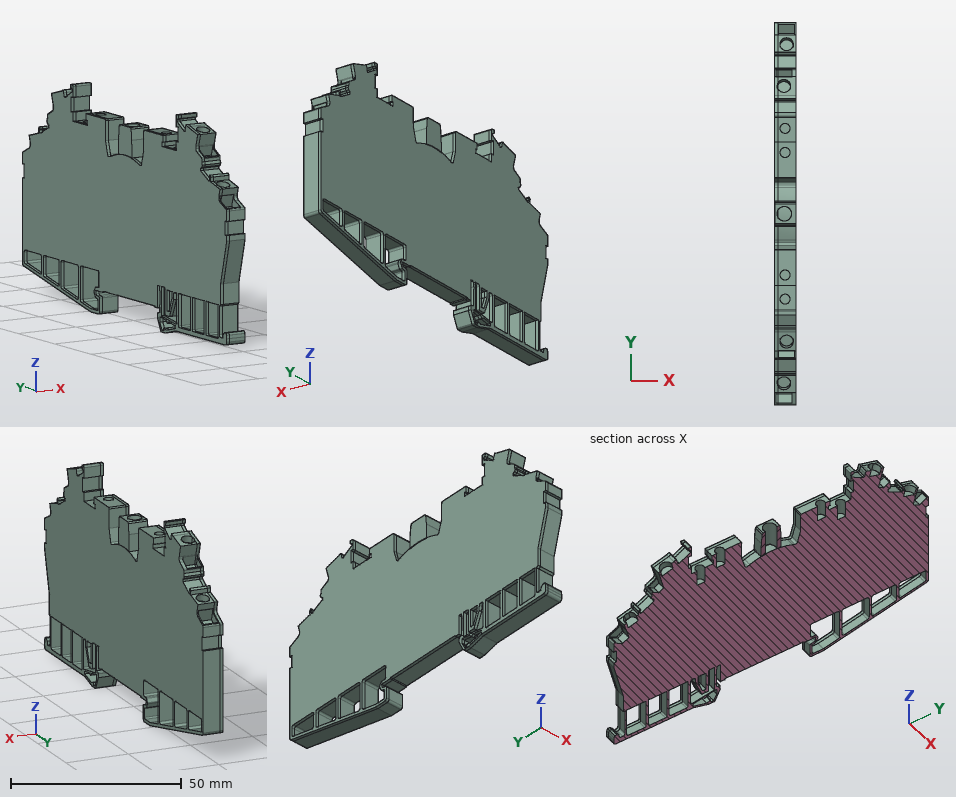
import cadquery as cq
import math


THICKNESS = 6.4
COVER_THICKNESS = 1.0
HALF_LENGTH = 56.0

WINDOW_TOP = 12.9
RIB = 1.0
BODY_BOTTOM = 7.2
BODY_BOTTOM_LIP = 6.8
LEFT_FOOT_Y = 13.7
LEFT_HEEL_Z = 8.2
LEFT_TOE_Y = 18.5
FOOT_SLOPE = LEFT_HEEL_Z / (HALF_LENGTH - LEFT_TOE_Y)
FOOT_SKIN = 1.0
RIGHT_FOOT_Z = 1.5
RIGHT_WINDOW_BOTTOM = 2.8
WINDOW_RADIUS = 0.7

FUNNEL_DIAMETER = 3.9
FUNNEL_DEPTH = 2.2
UPPER_FUNNEL_Y = 37.4
LOWER_FUNNEL_Y = 49.6
RECESS_WIDTH = 4.7
RECESS_RIM = 0.3
RECESS_FLOOR_SLOPE = 0.57
RECESS_BACK_SLOPE = 0.28
NEAR_BANK_X = 2.8
FAR_BANK_X = 3.6

SOCKET_DIAMETER = 2.9
SOCKET_DEPTH = 5.6
SOCKET_X = 3.1
INNER_SOCKET_Y = 17.9
OUTER_SOCKET_Y = 25.0
TOWER_TOP = 58.6
TOWER_FLOOR = 55.2

POST_START_X = 0.2
POST_TOP = 58.1
POST_BASE_Z = 48.2
POST_HOLE_DIAMETER = 4.3
POST_HOLE_X = 2.9

UPPER_FACE = ((34.6, 63.3), (40.1, 61.7))
UPPER_LEDGE = ((39.1, 56.9), (42.4, 55.1))
LOWER_FACE = ((47.2, 48.8), (52.3, 47.4))
LOWER_LEDGE = ((51.7, 43.9), (HALF_LENGTH, 41.8))

UPPER_RECESS = ((39.1, 57.9), 40.0, 42.0)
LOWER_RECESS = ((51.7, 45.3), 52.8, 55.3)


TOLERANCE = 1.12e-06


def rounded_wire(corners):
    """Closed YZ wire at X = 0; a corner (y, z, r) is rounded with radius r."""
    trims = []
    count = len(corners)
    for i, corner in enumerate(corners):
        here = cq.Vector(0, corner[0], corner[1])
        if len(corner) == 2:
            trims.append((here, here, here))
            continue
        before = cq.Vector(0, *corners[i - 1][:2])
        after = cq.Vector(0, *corners[(i + 1) % count][:2])
        toward_before = (before - here).normalized()
        toward_after = (after - here).normalized()
        half_angle = toward_before.getAngle(toward_after) / 2
        radius = corner[2]
        setback = radius / math.tan(half_angle)
        bisector = (toward_before + toward_after).normalized()
        middle = here + bisector * (radius / math.sin(half_angle) - radius)
        trims.append((here + toward_before * setback, middle, here + toward_after * setback))

    edges = []
    for i, (start, middle, end) in enumerate(trims):
        if start is not end:
            edges.append(cq.Edge.makeThreePointArc(start, middle, end))
        next_start = trims[(i + 1) % count][0]
        if (next_start - end).Length > TOLERANCE:
            edges.append(cq.Edge.makeLine(end, next_start))
    return cq.Wire.assembleEdges(edges)


def prism(corners, start_x, end_x):
    """Solid with a YZ outline, from start_x to end_x."""
    face = cq.Face.makeFromWires(rounded_wire(corners))
    solid = cq.Solid.extrudeLinear(face, cq.Vector(end_x - start_x, 0, 0))
    return cq.Workplane(solid.translate(cq.Vector(start_x, 0, 0)))


def mirrored(corners):
    """The same corners on the other side of Y = 0, in reverse order."""
    return [(-corner[0], *corner[1:]) for corner in reversed(corners)]


def cylinder(diameter, length, base, direction):
    return cq.Workplane(cq.Solid.makeCylinder(diameter / 2, length, base, direction))


SADDLE_PEAK = (0, 51.1, 20.7)

SHOULDER = [
    (9.1, 47.5, 0.7),
    (10.4, 52.2),
    (10.4, 58.1),
    (10.6, TOWER_TOP),
    (21.1, TOWER_TOP),
    (21.1, 56.6),
    (20.5, 56.6),
    (20.5, TOWER_FLOOR),
    (28.2, TOWER_FLOOR),
    (28.2, 57.9),
    (29.2, 57.9),
    (29.2, 62.3),
    (28.2, 62.3),
    (28.2, 66.0, 0.5),
    (29.7, 66.0),
    (29.5, 64.9),
    (28.7, 64.5),
    (28.7, 64.0),
    (32.7, 61.6),
    (33.2, 61.8),
    (33.4, 63.0),
    (33.7, 63.8),
    *UPPER_FACE,
    (39.1, 58.1),
    (*UPPER_LEDGE[0], 0.9),
    (*UPPER_LEDGE[1], 0.5),
    (42.4, 54.0),
    (42.7, 53.1),
    (42.4, 52.4),
    (41.7, 52.0),
    (41.7, 51.3),
    (46.2, 49.0),
    (46.5, 49.0),
    (46.7, 49.7),
    (46.3, 50.2),
    (46.7, 50.8),
    (47.3, 50.2),
    *LOWER_FACE,
    (51.8, 45.4),
    (*LOWER_LEDGE[0], 1.3),
    (*LOWER_LEDGE[1], 0.6),
    (HALF_LENGTH, 38.3),
    (55.1, 38.3),
    (55.1, 34.2),
    (HALF_LENGTH, 34.2),
]

LEFT_FOOT = [
    (HALF_LENGTH, LEFT_HEEL_Z, 0.9),
    (LEFT_TOE_Y, 0),
    (LEFT_FOOT_Y, 0, 0.8),
    (LEFT_FOOT_Y, 5.2, 0.3),
    (15.5, 5.5, 0.6),
    (15.8, BODY_BOTTOM_LIP),
    (12.0, BODY_BOTTOM_LIP),
    (11.8, BODY_BOTTOM),
]

RIGHT_FOOT = [
    (-16.2, BODY_BOTTOM),
    (-16.5, BODY_BOTTOM_LIP),
    (-18.0, BODY_BOTTOM_LIP),
    (-18.0, 13.6),
    (-19.0, 13.6),
    (-19.4, 11.8),
    (-19.3, 5.7),
    (-18.0, 5.4, 0.3),
    (-18.0, 3.9),
    (-19.9, 0, 0.6),
    (-22.3, 0),
    (-27.7, RIGHT_FOOT_Z),
    (-HALF_LENGTH, RIGHT_FOOT_Z, 1.0),
    (-HALF_LENGTH, 3.5),
    (-55.9, 4.5),
    (-55.7, 5.2),
    (-54.9, 5.2),
    (-54.0, 4.5),
    (-53.8, 3.4),
    (-52.0, 3.4, 0.8),
    (-52.0, 12.5),
    (-52.7, 13.1),
    (-52.7, 19.3),
    (-HALF_LENGTH, 32.5),
]

OUTLINE = [SADDLE_PEAK, *SHOULDER, *LEFT_FOOT, *RIGHT_FOOT, *mirrored(SHOULDER)]


def foot_floor(y):
    """Height of the sloping foot's inner surface at y."""
    return FOOT_SLOPE * (y - LEFT_TOE_Y) + FOOT_SKIN


LEFT_RIBS_Y = [45.0, 35.3, 24.8]
RIGHT_RIBS_Y = [-29.1, -36.6, -44.0, -51.8]


def left_windows():
    outer_sides = [HALF_LENGTH - RIB] + [rib - RIB / 2 for rib in LEFT_RIBS_Y[:-1]]
    inner_sides = [rib + RIB / 2 for rib in LEFT_RIBS_Y]
    windows = []
    for outer, inner in zip(outer_sides, inner_sides):
        windows.append([
            (outer, WINDOW_TOP, WINDOW_RADIUS),
            (inner, WINDOW_TOP, WINDOW_RADIUS),
            (inner, foot_floor(inner), WINDOW_RADIUS),
            (outer, foot_floor(outer), WINDOW_RADIUS),
        ])
    hook_side = LEFT_RIBS_Y[-1] - RIB / 2
    windows.append([
        (hook_side, WINDOW_TOP, WINDOW_RADIUS),
        (14.0, WINDOW_TOP, WINDOW_RADIUS),
        (14.0, 7.8, 0.6),
        (15.9, 7.8, 0.3),
        (16.8, 6.4, 0.3),
        (15.9, 4.7, 0.3),
        (14.7, 4.4, 0.3),
        (14.7, FOOT_SKIN, 0.5),
        (LEFT_TOE_Y, FOOT_SKIN),
        (hook_side, foot_floor(hook_side), WINDOW_RADIUS),
    ])
    return windows


def right_windows():
    windows = []
    for inner_rib, outer_rib in zip(RIGHT_RIBS_Y, RIGHT_RIBS_Y[1:]):
        inner = inner_rib - RIB / 2
        outer = outer_rib + RIB / 2
        windows.append([
            (inner, WINDOW_TOP),
            (inner, RIGHT_WINDOW_BOTTOM, 0.5),
            (outer, RIGHT_WINDOW_BOTTOM, 0.5),
            (outer, WINDOW_TOP),
        ])
    return windows


SPRING_WINDOW = [
    (-20.2, 13.6),
    (-22.2, 13.6, 0.6),
    (-22.2, 5.3, 0.3),
    (-24.6, 5.3),
    (-26.9, 10.6),
    (-27.0, WINDOW_TOP, 0.5),
    (-28.6, WINDOW_TOP, 0.6),
    (-28.6, 3.5, 0.5),
    (-20.2, 4.8),
]
STOP_WINDOW = [
    (-23.2, WINDOW_TOP),
    (-23.2, 6.7),
    (-24.4, 6.7),
    (-26.0, 11.0),
    (-26.0, WINDOW_TOP),
]
LATCH_WINDOW = [
    (-19.4, 4.4),
    (-20.8, 4.3),
    (-22.6, 3.9),
    (-23.5, 3.0),
    (-24.2, 3.6),
    (-27.7, 3.0),
    (-27.7, 2.2),
    (-23.0, 1.0),
    (-21.5, 1.3),
    (-21.3, 0.6),
    (-20.5, 0.7),
    (-19.4, 2.8),
]


def funnel(face, y, x, side):
    """Round pocket square to a sloping tower face; side is +1 or -1 along Y."""
    (y_high, z_high), (y_low, z_low) = face
    drop = (z_high - z_low) / (y_low - y_high)
    tilt = math.atan(drop)
    mouth = cq.Vector(x, side * y, z_high - drop * (y - y_high))
    outward = cq.Vector(0, side * math.sin(tilt), math.cos(tilt))
    return cylinder(FUNNEL_DIAMETER, 2 * FUNNEL_DEPTH, mouth - outward * FUNNEL_DEPTH, outward)


def ledge_recess(ledge, back, y_valley, y_front, x, side):
    """Screwdriver recess with a V-shaped floor and a back wall that leans in under the tower."""
    (y_high, z_high), (y_low, z_low) = ledge
    y_back, z_top = back
    drop = (z_high - z_low) / (y_low - y_high)
    z_front = z_high - drop * (y_front - y_high) - RECESS_RIM
    z_valley = z_front - RECESS_FLOOR_SLOPE * (y_front - y_valley)
    reach = y_valley - y_back + RECESS_BACK_SLOPE * (z_top - z_valley)
    inner_length = reach / (1 + RECESS_BACK_SLOPE * RECESS_FLOOR_SLOPE)
    section = [
        back,
        (y_valley - inner_length, z_valley + RECESS_FLOOR_SLOPE * inner_length),
        (y_valley, z_valley),
        (y_front, z_front),
        (y_front, z_top),
    ]
    if side < 0:
        section = mirrored(section)
    return prism(section, x - RECESS_WIDTH / 2, x + RECESS_WIDTH / 2)


def socket(y, z):
    base = cq.Vector(SOCKET_X, y, z - SOCKET_DEPTH)
    return cylinder(SOCKET_DIAMETER, SOCKET_DEPTH, base, cq.Vector(0, 0, 1))


def top_cuts():
    cuts = []
    for side, upper_x, lower_x in ((1, NEAR_BANK_X, FAR_BANK_X), (-1, FAR_BANK_X, NEAR_BANK_X)):
        cuts.append(funnel(UPPER_FACE, UPPER_FUNNEL_Y, upper_x, side))
        cuts.append(funnel(LOWER_FACE, LOWER_FUNNEL_Y, lower_x, side))
        cuts.append(ledge_recess(UPPER_LEDGE, *UPPER_RECESS, upper_x, side))
        cuts.append(ledge_recess(LOWER_LEDGE, *LOWER_RECESS, lower_x, side))
        cuts.append(socket(side * INNER_SOCKET_Y, TOWER_TOP))
        cuts.append(socket(side * OUTER_SOCKET_Y, TOWER_FLOOR))
    return cuts


def terminal_layer(start_x, end_x):
    """The part of the terminal lying between two planes square to X."""
    layer = prism(OUTLINE, start_x, end_x)
    windows = [*left_windows(), *right_windows(), SPRING_WINDOW, STOP_WINDOW, LATCH_WINDOW]
    for window in windows:
        layer = layer.cut(prism(window, start_x, end_x))
    for cut in top_cuts():
        layer = layer.cut(cut)
    return layer


def marker_post():
    """Tapered post standing on the saddle, with a round hole down its middle."""
    flank = [(3.7, POST_BASE_Z), (3.6, 54.5), (3.2, 57.7), (2.9, POST_TOP)]
    post = prism([*flank, *mirrored(flank)], POST_START_X, THICKNESS)
    base = cq.Vector(POST_HOLE_X, 0, POST_BASE_Z)
    hole = cylinder(POST_HOLE_DIAMETER, POST_TOP - POST_BASE_Z, base, cq.Vector(0, 0, 1))
    saddle = prism(OUTLINE, 0, THICKNESS)
    return post.cut(hole).cut(saddle)


cover = terminal_layer(0, COVER_THICKNESS)
housing = terminal_layer(COVER_THICKNESS, THICKNESS)
post = marker_post()

result = cq.Compound.makeCompound([cover.solids().val(), housing.solids().val(), post.solids().val()])